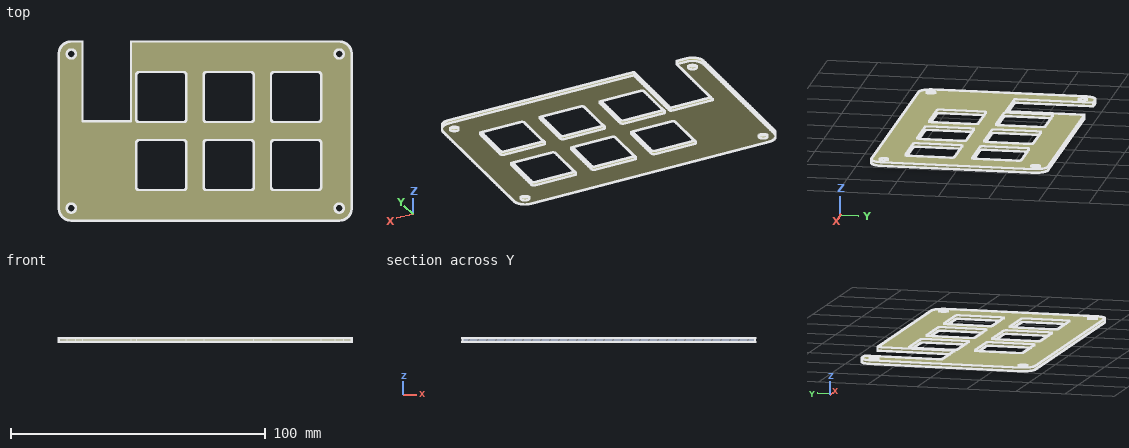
import cadquery as cq

length = 115.0
width = 70.4
thickness = 1.5
corner_radius = 5.0

screw_hole_diameter = 3.5

key_columns = 3
key_rows = 2
key_size = 19.5
key_pitch_x = 26.5
key_pitch_y = 26.7
key_corner_radius = 1.0
key_grid_center_x = 9.2

notch_width = 18.9
notch_depth = 31.3
notch_edge_distance = 9.4


def make_plate():
    """Flat plate with rounded corners."""
    plate = cq.Workplane("XY").rect(length, width).extrude(thickness)
    return plate.edges("|Z").fillet(corner_radius)


def make_screw_holes():
    """Four through holes, one at each corner."""
    return (
        cq.Workplane("XY")
        .rect(length - 2 * corner_radius, width - 2 * corner_radius, forConstruction=True)
        .vertices()
        .circle(screw_hole_diameter / 2)
        .extrude(thickness)
    )


def make_key_openings():
    """Grid of square through openings with small rounded corners."""
    openings = (
        cq.Workplane("XY")
        .center(key_grid_center_x, 0)
        .rarray(key_pitch_x, key_pitch_y, key_columns, key_rows)
        .rect(key_size, key_size)
        .extrude(thickness)
    )
    return openings.edges("|Z").fillet(key_corner_radius)


def make_notch():
    """Sharp-cornered through notch in the +Y edge."""
    return cq.Workplane("XY").box(
        notch_width, notch_depth, thickness, centered=False
    ).translate((notch_edge_distance - length / 2, width / 2 - notch_depth, 0))


result = make_plate().cut(make_screw_holes()).cut(make_key_openings()).cut(make_notch())